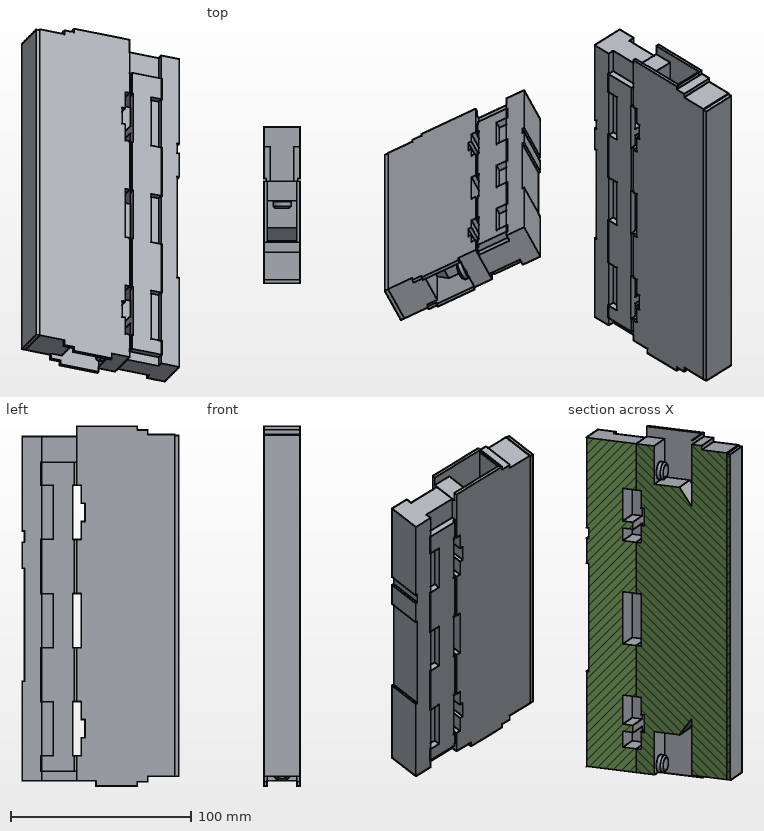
import cadquery as cq

WIDTH = 20.0
DEPTH = 87.0
HEIGHT = 200.0

BUSBAR_PITCH = 60.0
MIDDLE_BUSBAR_Z = 92.0
BUSBAR_LEVELS = [MIDDLE_BUSBAR_Z + step * BUSBAR_PITCH for step in (-1, 0, 1)]
CLAMP_LEVELS = [BUSBAR_LEVELS[0], BUSBAR_LEVELS[2]]
WINDOW_HEIGHT = 30.0
WINDOW_BACK_Y = 58.8
WINDOW_FRONT_Y = 54.2
CLAMP_NOTCH_HEIGHT = 10.0
CLAMP_NOTCH_DEPTH = 2.0

BASE_BOTTOM_Z = 3.0
BASE_TOP_Z = 194.2
BAR_FRONT_Y = 76.0
WEB_WIDTH = 12.8
SIDE_BOTTOM_Z = 8.5
SIDE_TOP_Z = 179.8
SIDE_POCKET_FRONT_Y = 69.8
JOINT_GROOVE_WIDTH = 1.5
JOINT_GROOVE_DEPTH = 1.2
BAR_GROOVE_WIDTH = 0.5
BAR_GROOVE_DEPTH = 0.2
REAR_RELIEF_DEPTH = 1.2
REAR_RELIEFS = [(58.5, 121.0), (135.5, 141.5)]

WEB_CUTBACK_DEPTH = 6.0
CROSSBAR_HEIGHT = 4.5
CROSSBAR_LEVELS = [28.2, 146.2]

HOUSING_BACK_Y = 56.8
WALL_THICKNESS = 1.8
TERMINAL_FACE_Y = 46.0
TOWER_FRONT_Y = 23.0
TOP_LIP_THICKNESS = 0.5
RECESS_FLOOR_FRONT_Y = 30.8
STEP_FRONT_Y = 17.2
STEP_BOTTOM_Z = 2.5
STEP_TOP_Z = 197.8
FRONT_BOTTOM_Z = 5.5
FRONT_TOP_Z = 195.5
RECESS_DEPTH = 28.0
RAMP_DROP = 10.0

COVER_THICKNESS = 2.2
COVER_TOP_Z = 194.8

SCREW_DIAMETER = 10.0
SCREW_NECK_DIAMETER = 6.0
SCREW_NECK_LENGTH = 0.5
SCREW_HEAD_LENGTH = 3.5
SCREW_CHAMFER = 1.2
BOTTOM_SCREW_INSET = 5.0
TOP_SCREW_INSET = 16.0
SCREW_LEVELS = [BASE_BOTTOM_Z + BOTTOM_SCREW_INSET, BASE_TOP_Z - TOP_SCREW_INSET]


def block(width, y_range, z_range, x_center=WIDTH / 2):
    """A box centred on x_center that spans the given y and z ranges."""
    y_min, y_max = y_range
    z_min, z_max = z_range
    corner = (x_center - width / 2, y_min, z_min)
    return cq.Workplane("XY").box(width, y_max - y_min, z_max - z_min, centered=False).translate(corner)


def side_profile(points, width):
    """Extrude a closed outline of (y, z) points symmetrically about the middle plane."""
    return cq.Workplane("YZ", origin=((WIDTH - width) / 2, 0, 0)).polyline(points).close().extrude(width)


def centred_span(level, height):
    """The z range of the given height centred on a level."""
    return (level - height / 2, level + height / 2)


def both_sides(depth, y_range, z_range):
    """Two boxes that reach the given depth inwards from the left and right faces."""
    left = block(depth, y_range, z_range, depth / 2)
    right = block(depth, y_range, z_range, WIDTH - depth / 2)
    return left.union(right)


def make_base():
    full_height = (BASE_BOTTOM_Z, BASE_TOP_Z)
    side_height = (SIDE_BOTTOM_Z, SIDE_TOP_Z)
    base = block(WIDTH, (BAR_FRONT_Y, DEPTH), full_height)
    base = base.union(block(WEB_WIDTH, (HOUSING_BACK_Y, BAR_FRONT_Y), full_height))
    base = base.union(block(WIDTH, (HOUSING_BACK_Y, BAR_FRONT_Y), side_height))

    groove_back_y = HOUSING_BACK_Y + JOINT_GROOVE_WIDTH
    base = base.cut(both_sides(JOINT_GROOVE_DEPTH, (HOUSING_BACK_Y, groove_back_y), side_height))
    bar_groove = (BAR_FRONT_Y, BAR_FRONT_Y + BAR_GROOVE_WIDTH)
    base = base.cut(both_sides(BAR_GROOVE_DEPTH, bar_groove, side_height))

    pocket_depth = (WIDTH - WEB_WIDTH) / 2
    cutback = (WINDOW_BACK_Y, WINDOW_BACK_Y + WEB_CUTBACK_DEPTH)
    for level in BUSBAR_LEVELS:
        span = centred_span(level, WINDOW_HEIGHT)
        base = base.cut(block(WIDTH, (HOUSING_BACK_Y, WINDOW_BACK_Y), span))
        base = base.cut(block(WEB_WIDTH, cutback, span))
        base = base.cut(both_sides(pocket_depth, (SIDE_POCKET_FRONT_Y, BAR_FRONT_Y), span))
        base = base.union(both_sides(BAR_GROOVE_DEPTH, bar_groove, span))

    for level in CROSSBAR_LEVELS:
        base = base.union(block(WEB_WIDTH, cutback, centred_span(level, CROSSBAR_HEIGHT)))

    for relief in REAR_RELIEFS:
        base = base.cut(block(WIDTH, (DEPTH - REAR_RELIEF_DEPTH, DEPTH), relief))
    return base


def make_housing():
    outline = [
        (COVER_THICKNESS, FRONT_BOTTOM_Z),
        (STEP_FRONT_Y, FRONT_BOTTOM_Z),
        (STEP_FRONT_Y, STEP_BOTTOM_Z),
        (TOWER_FRONT_Y, STEP_BOTTOM_Z),
        (TOWER_FRONT_Y, 0),
        (TERMINAL_FACE_Y, 0),
        (TERMINAL_FACE_Y, BASE_BOTTOM_Z),
        (HOUSING_BACK_Y, BASE_BOTTOM_Z),
        (HOUSING_BACK_Y, HEIGHT),
        (TOWER_FRONT_Y, HEIGHT),
        (TOWER_FRONT_Y, STEP_TOP_Z),
        (STEP_FRONT_Y, STEP_TOP_Z),
        (STEP_FRONT_Y, FRONT_TOP_Z),
        (COVER_THICKNESS, FRONT_TOP_Z),
    ]
    housing = side_profile(outline, WIDTH)

    inner_width = WIDTH - 2 * WALL_THICKNESS
    recess_front_y = TOWER_FRONT_Y + TOP_LIP_THICKNESS
    housing = housing.cut(block(inner_width, (recess_front_y, HOUSING_BACK_Y), (BASE_TOP_Z, HEIGHT)))
    housing = housing.cut(block(inner_width, (STEP_FRONT_Y, TERMINAL_FACE_Y), (0, FRONT_BOTTOM_Z)))
    for end_z, inward in ((HEIGHT, -1), (0, 1)):
        floor_z = end_z + inward * RECESS_DEPTH
        recess = [
            (TERMINAL_FACE_Y, end_z),
            (TERMINAL_FACE_Y, floor_z),
            (RECESS_FLOOR_FRONT_Y, floor_z),
            (recess_front_y, floor_z + inward * RAMP_DROP),
            (recess_front_y, end_z),
        ]
        housing = housing.cut(side_profile(recess, inner_width))

    for level in BUSBAR_LEVELS:
        span = centred_span(level, WINDOW_HEIGHT)
        housing = housing.cut(block(WIDTH, (WINDOW_FRONT_Y, HOUSING_BACK_Y), span))
    for level in CLAMP_LEVELS:
        span = centred_span(level, CLAMP_NOTCH_HEIGHT)
        notch = (WINDOW_FRONT_Y - CLAMP_NOTCH_DEPTH, WINDOW_FRONT_Y)
        housing = housing.cut(block(WIDTH, notch, span))
    return housing


def make_cover():
    return block(WIDTH, (0, COVER_THICKNESS), (FRONT_BOTTOM_Z, COVER_TOP_Z))


def make_screw(level):
    """A short neck on the terminal face, then a chamfered head pointing to the front."""
    neck = (
        cq.Workplane("XZ", origin=(WIDTH / 2, TERMINAL_FACE_Y, level))
        .circle(SCREW_NECK_DIAMETER / 2)
        .extrude(SCREW_NECK_LENGTH)
    )
    head = (
        cq.Workplane("XZ", origin=(WIDTH / 2, TERMINAL_FACE_Y - SCREW_NECK_LENGTH, level))
        .circle(SCREW_DIAMETER / 2)
        .extrude(SCREW_HEAD_LENGTH)
        .faces("<Y")
        .chamfer(SCREW_CHAMFER)
    )
    return neck.union(head)


base = make_base()
housing = make_housing()
cover = make_cover()
screws = [make_screw(level) for level in SCREW_LEVELS]

result = cq.Compound.makeCompound(
    [base.val(), housing.val(), cover.val(), *[screw.val() for screw in screws]]
)